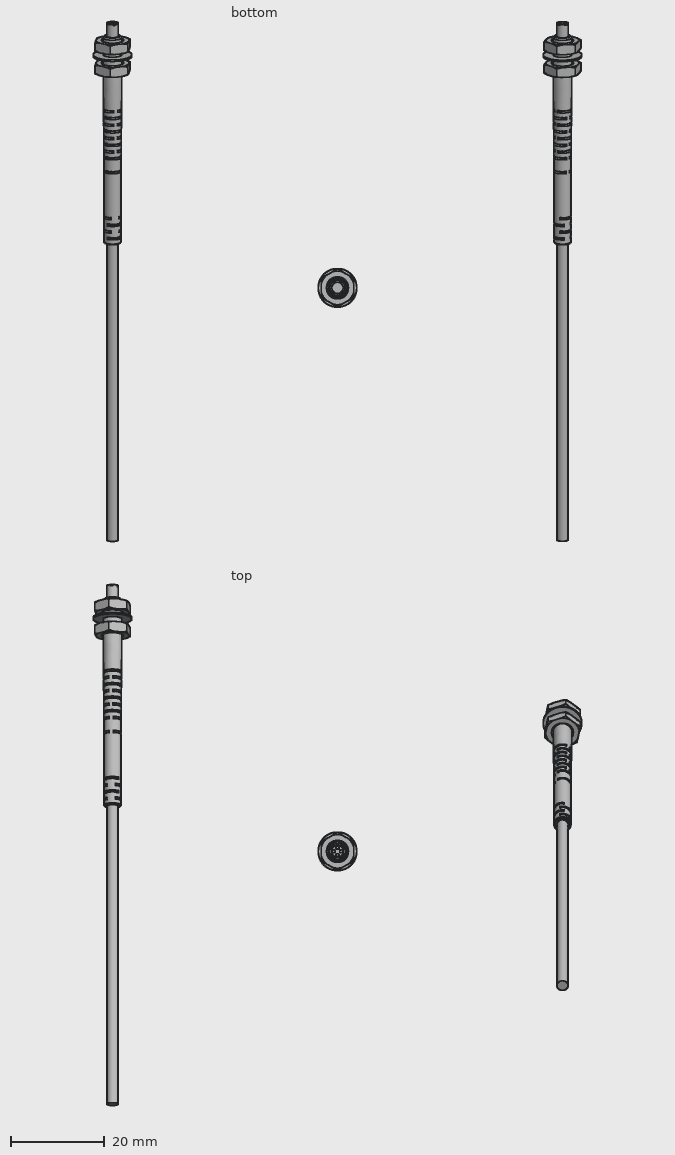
import cadquery as cq
import math

TOTAL_LENGTH = 115.0

TIP_DIAMETER = 2.5
TIP_LENGTH = 2.9
RECESS_COUNT = 4
RECESS_DIAMETER = 0.7
RECESS_OFFSET = 0.8
RECESS_DEPTH = 0.2

SLEEVE_DIAMETER = 4.0
SLEEVE_LENGTH = 10.1
SLEEVE_CHAMFER = 0.3

RELIEF_END_DIAMETER = 3.7
RELIEF_END_Z = 66.1
RELIEF_END_CHAMFER = 0.2
SLOT_PITCH = 1.5
SLOT_HEIGHT = 0.5
UPPER_SLOT_Z = 95.8
UPPER_SLOT_COUNT = 8
SINGLE_SLOT_Z = 82.2
LOWER_SLOT_Z = 72.0
LOWER_SLOT_COUNT = 4
UPPER_WEB = 0.9
UPPER_CORE_DIAMETER = 1.3
LOWER_WEB = 1.8

CABLE_DIAMETER = 2.4

NUT_FLATS = 7.0
NUT_CORNERS = NUT_FLATS / math.cos(math.radians(30))
NUT_BEVEL_RISE = 0.2
NUT_BEVEL_RUN = 0.5
NUT_COUNTERSINK = 0.3
NUT_HEIGHT = 2.2
NUT_BOTTOMS_Z = (104.0, 109.0)

WASHER_DIAMETER = 8.3
WASHER_THICKNESS = 0.3
WASHER_Z = 107.6

SLEEVE_TOP_Z = TOTAL_LENGTH - TIP_LENGTH
SLEEVE_BOTTOM_Z = SLEEVE_TOP_Z - SLEEVE_LENGTH
TAPER_END_Z = SINGLE_SLOT_Z + SLOT_HEIGHT / 2


def cylinder(diameter, bottom_z, top_z):
    return cq.Workplane("XY").workplane(offset=bottom_z).circle(diameter / 2).extrude(top_z - bottom_z)


def slot_pair(center_z, along_x, web, core_diameter=0.0):
    """Two opposite side slots that leave a flat web, and a round core if one is given."""
    span = 2 * SLEEVE_DIAMETER
    slots = cq.Workplane("XY").box(span, span, SLOT_HEIGHT)
    slots = slots.cut(cq.Workplane("XY").box(web, span, SLOT_HEIGHT))
    if core_diameter:
        slots = slots.cut(cylinder(core_diameter, -SLOT_HEIGHT, SLOT_HEIGHT))
    turn = 0 if along_x else 90
    return slots.rotate((0, 0, 0), (0, 0, 1), turn).translate((0, 0, center_z))


def make_relief_blank():
    """Round blank that tapers from the sleeve to the single slot and then runs straight."""
    top_radius = SLEEVE_DIAMETER / 2
    end_radius = RELIEF_END_DIAMETER / 2
    return (
        cq.Workplane("XZ")
        .moveTo(0, RELIEF_END_Z)
        .lineTo(end_radius - RELIEF_END_CHAMFER, RELIEF_END_Z)
        .lineTo(end_radius, RELIEF_END_Z + RELIEF_END_CHAMFER)
        .lineTo(end_radius, TAPER_END_Z)
        .lineTo(top_radius, SLEEVE_BOTTOM_Z)
        .lineTo(0, SLEEVE_BOTTOM_Z)
        .close()
        .revolve(360, (0, 0, 0), (0, 1, 0))
    )


def cut_slot_row(body, top_z, count, web, core_diameter=0.0):
    """Cut evenly spaced slot pairs downward, turning each a quarter turn from the last."""
    for i in range(count):
        along_x = i % 2 == 1
        body = body.cut(slot_pair(top_z - i * SLOT_PITCH, along_x, web, core_diameter))
    return body


def make_relief():
    relief = make_relief_blank()
    relief = cut_slot_row(relief, UPPER_SLOT_Z, UPPER_SLOT_COUNT, UPPER_WEB, UPPER_CORE_DIAMETER)
    relief = relief.cut(slot_pair(SINGLE_SLOT_Z, True, UPPER_WEB, UPPER_CORE_DIAMETER))
    return cut_slot_row(relief, LOWER_SLOT_Z, LOWER_SLOT_COUNT, LOWER_WEB)


def make_tip():
    tip = cylinder(TIP_DIAMETER, SLEEVE_TOP_Z, TOTAL_LENGTH)
    recesses = (
        cq.Workplane("XY")
        .workplane(offset=TOTAL_LENGTH - RECESS_DEPTH)
        .polarArray(RECESS_OFFSET, 0, 360, RECESS_COUNT)
        .circle(RECESS_DIAMETER / 2)
        .extrude(RECESS_DEPTH)
    )
    return tip.cut(recesses)


def make_sensor():
    cable = cylinder(CABLE_DIAMETER, 0, RELIEF_END_Z)
    sleeve = cylinder(SLEEVE_DIAMETER, SLEEVE_BOTTOM_Z, SLEEVE_TOP_Z).faces(">Z").chamfer(SLEEVE_CHAMFER)
    return cable.union(make_relief()).union(sleeve).union(make_tip())


def make_nut(bottom_z):
    """Hexagon nut with two corners on the Y axis, bevelled corners and a countersunk bore."""
    nut = cq.Workplane("XY").polygon(6, NUT_CORNERS).extrude(NUT_HEIGHT).rotate((0, 0, 0), (0, 0, 1), 90)
    half_height = NUT_HEIGHT / 2
    corner_radius = NUT_CORNERS / 2
    bevel_z = half_height - NUT_BEVEL_RISE
    envelope = (
        cq.Workplane("XZ")
        .moveTo(0, -half_height)
        .lineTo(corner_radius - NUT_BEVEL_RUN, -half_height)
        .lineTo(corner_radius, -bevel_z)
        .lineTo(corner_radius, bevel_z)
        .lineTo(corner_radius - NUT_BEVEL_RUN, half_height)
        .lineTo(0, half_height)
        .close()
        .revolve(360, (0, 0, 0), (0, 1, 0))
        .translate((0, 0, half_height))
    )
    nut = nut.intersect(envelope).cut(cylinder(SLEEVE_DIAMETER, 0, NUT_HEIGHT))
    nut = nut.edges(cq.selectors.RadiusNthSelector(0)).chamfer(NUT_COUNTERSINK)
    return nut.translate((0, 0, bottom_z))


def make_washer():
    return (
        cq.Workplane("XY")
        .workplane(offset=WASHER_Z)
        .circle(WASHER_DIAMETER / 2)
        .circle(SLEEVE_DIAMETER / 2)
        .extrude(WASHER_THICKNESS)
    )


sensor = make_sensor()
nuts = [make_nut(z) for z in NUT_BOTTOMS_Z]
washer = make_washer()
result = cq.Compound.makeCompound([sensor.val(), *[nut.val() for nut in nuts], washer.val()])